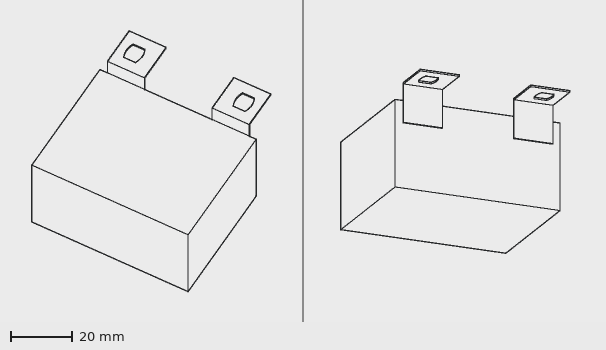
import cadquery as cq

housing_width = 58.7
housing_depth = 45.4
housing_height = 30.4

bracket_width = 13.9
bracket_thickness = 0.6
bracket_reach = 14.5
bracket_rise = 6.1
bracket_height = 13.9
bracket_inset = 2.75

hole_width = 5.8
hole_flat = 4.45
hole_length = 6.3
hole_shift = 0.9

bracket_top = housing_height + bracket_rise
bracket_offset = housing_width / 2 - bracket_inset - bracket_width / 2


def make_housing():
    return cq.Workplane("XY").box(
        housing_width, housing_depth, housing_height, centered=(True, False, False)
    ).translate((0, -housing_depth, 0))


def make_hole_cutter(center_x):
    """Cutter for the bracket hole, passing down through the horizontal leg."""
    half_flat = hole_flat / 2
    half_width = hole_width / 2
    half_length = hole_length / 2
    return (
        cq.Workplane("XY", origin=(center_x, bracket_reach / 2, bracket_top))
        .moveTo(-half_flat, -half_length)
        .lineTo(half_flat, -half_length)
        .threePointArc((half_width, 0), (half_flat, half_length))
        .lineTo(-half_flat, half_length)
        .threePointArc((-half_width, 0), (-half_flat, -half_length))
        .close()
        .extrude(-bracket_thickness)
    )


def make_bracket(side):
    """Bracket on the -X side (side = -1) or the +X side (side = 1)."""
    center_x = side * bracket_offset
    bracket_bottom = bracket_top - bracket_height
    leg_underside = bracket_top - bracket_thickness
    bracket = (
        cq.Workplane("YZ", origin=(center_x, 0, 0))
        .moveTo(0, bracket_bottom)
        .lineTo(0, bracket_top)
        .lineTo(bracket_reach, bracket_top)
        .lineTo(bracket_reach, leg_underside)
        .lineTo(bracket_thickness, leg_underside)
        .lineTo(bracket_thickness, bracket_bottom)
        .close()
        .extrude(bracket_width / 2, both=True)
    )
    return bracket.cut(make_hole_cutter(center_x + side * hole_shift))


housing = make_housing()
brackets = [make_bracket(side) for side in (-1, 1)]

result = cq.Compound.makeCompound([housing.val(), *[bracket.val() for bracket in brackets]])